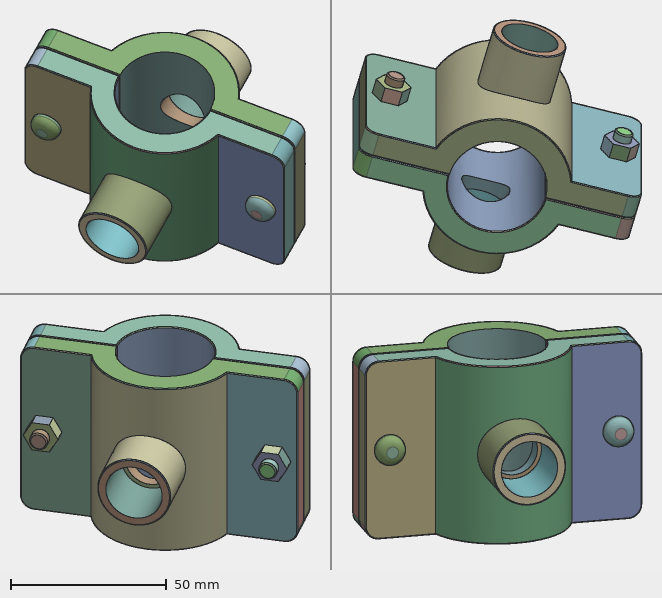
import cadquery as cq
clamp_length = 92.0
clamp_height = 60.0
flange_outer_y = 8.0
flange_corner_radius = 4.5
seam_gap = 0.1
seam_y = seam_gap / 2
edge_chamfer = 0.32

barrel_diameter = 48.0
pipe_bore_diameter = 32.0

port_span = 80.0
port_end_y = port_span / 2
port_outer_diameter = 24.2
port_inner_diameter = 18.7
port_seat_y = (barrel_diameter + pipe_bore_diameter) / 4
wall_hole_diameter = 16.0

bolt_spacing = 76.0
shank_diameter = 6.0
shank_tip_chamfer = 0.5
shank_end_y = 2 * flange_outer_y
head_diameter = 10.0
head_height = 4.0
head_rounding = 3.0
nut_width = 10.0
nut_height = 5.0

SIDES = (-1, 1)


def cylinder_along_y(diameter, y_start, y_end):
    """Cylinder on the Y axis between two Y positions."""
    plane = cq.Workplane("XZ", origin=(0, y_start, 0))
    return plane.circle(diameter / 2).extrude(y_start - y_end)


def turn_to_front(shape):
    """Half a turn about Z, which brings a +Y part to the -Y side."""
    return shape.rotate((0, 0, 0), (0, 0, 1), 180)


def make_flange_plate():
    """Rounded plate on the +Y side of the seam, chamfered around both faces."""
    plate = (
        cq.Workplane("XY", origin=(0, seam_y, 0))
        .box(clamp_length, flange_outer_y - seam_y, clamp_height, centered=(True, False, True))
        .edges("|Y")
        .fillet(flange_corner_radius)
    )
    return plate.faces("<Y or >Y").edges().chamfer(edge_chamfer)


def make_half_barrel():
    """Half barrel on the +Y side, starting clear of the chamfers along the seam."""
    barrel = (
        cq.Workplane("XY")
        .cylinder(clamp_height, barrel_diameter / 2)
        .faces("<Z or >Z")
        .edges()
        .chamfer(edge_chamfer)
    )
    kept_side = cq.Workplane("XY", origin=(0, seam_y + edge_chamfer, 0)).box(
        barrel_diameter, barrel_diameter, clamp_height, centered=(True, False, True)
    )
    return barrel.intersect(kept_side)


def make_clamp_half():
    """Clamp half on the +Y side with its pipe bore, port socket and wall hole."""
    half = make_flange_plate().union(make_half_barrel())
    pipe_bore = cq.Workplane("XY").cylinder(clamp_height, pipe_bore_diameter / 2)
    wall_hole = cylinder_along_y(wall_hole_diameter, 0, port_end_y)
    socket = cylinder_along_y(port_outer_diameter, port_seat_y, port_end_y)
    return half.cut(pipe_bore).cut(wall_hole).cut(socket)


def chamfer_bore_of(half):
    """Chamfer a +Y half along the end and seam edges of its pipe bore."""
    bore_radius = pipe_bore_diameter / 2
    flared_radius = bore_radius + edge_chamfer
    top_flare = (
        cq.Workplane("XY", origin=(0, 0, clamp_height / 2))
        .circle(flared_radius)
        .workplane(offset=-edge_chamfer)
        .circle(bore_radius)
        .loft(ruled=True)
    )
    seam_flare = (
        cq.Workplane("XY", origin=(0, 0, -clamp_height / 2))
        .moveTo(-flared_radius, seam_y)
        .lineTo(flared_radius, seam_y)
        .lineTo(bore_radius, seam_y + edge_chamfer)
        .lineTo(-bore_radius, seam_y + edge_chamfer)
        .close()
        .extrude(clamp_height)
    )
    return half.cut(top_flare).cut(top_flare.mirror("XY")).cut(seam_flare)


def make_bolt():
    """Button-head bolt with its hex nut, head on the -Y side."""
    shank = cylinder_along_y(shank_diameter, -flange_outer_y, shank_end_y)
    shank = shank.faces(">Y").edges().chamfer(shank_tip_chamfer)

    head = cylinder_along_y(head_diameter, -flange_outer_y - head_height, -flange_outer_y)
    head = head.faces("<Y").edges().fillet(head_rounding)

    nut = (
        cq.Workplane("XZ", origin=(0, flange_outer_y, 0))
        .polygon(6, nut_width, circumscribed=True)
        .extrude(-nut_height)
        .rotate((0, 0, 0), (0, 1, 0), 30)
    )
    return shank.union(head).union(nut)


def make_clamp():
    """Both clamp halves, held together by the bolts; only the front bore is chamfered."""
    rear_half = make_clamp_half()
    front_half = turn_to_front(chamfer_bore_of(rear_half))
    bolt = make_bolt()
    clamp = rear_half
    for side in SIDES:
        clamp = clamp.union(bolt.translate((side * bolt_spacing / 2, 0, 0)))
    return clamp.union(front_half)


def make_port_tube():
    """Port tube on the +Y side, chamfered around its outer end."""
    tube = cylinder_along_y(port_outer_diameter, port_seat_y, port_end_y)
    tube = tube.faces(">Y").edges().chamfer(edge_chamfer)
    return tube.cut(cylinder_along_y(port_inner_diameter, port_seat_y, port_end_y))


clamp = make_clamp()
rear_port_tube = make_port_tube()
port_tubes = [rear_port_tube, turn_to_front(rear_port_tube)]

result = cq.Compound.makeCompound([clamp.val(), *[tube.val() for tube in port_tubes]])